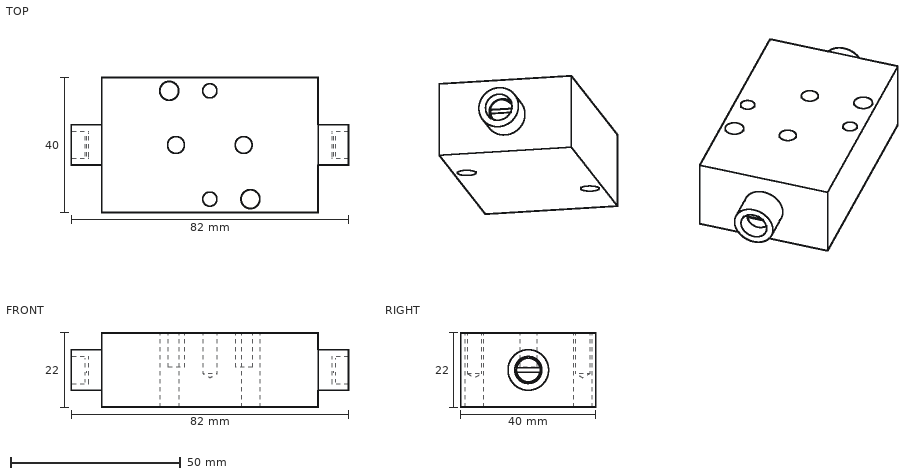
import cadquery as cq
import math

block_length = 64.0
block_width = 40.0
block_height = 22.0
block_top = block_height / 2

overall_length = 82.0
stub_diameter = 12.0
bore_diameter = 8.0
bore_depth = 5.0
screw_diameter = 7.0
screw_height = 1.0
slot_width = 1.2
slot_depth = 0.5

mounting_diameter = 5.5
mounting_x = 12.0
hole_row_y = 16.0
blind_diameter = 4.2
blind_depth = 12.0
drill_point_angle = 118.0
port_diameter = 5.0
port_x = 10.0
port_depth = 10.0


def make_block():
    return cq.Workplane("XY").box(block_length, block_width, block_height)


def end_cylinder(diameter, start_x, end_x):
    """Cylinder on the X axis between two X positions."""
    return cq.Workplane("YZ").workplane(offset=start_x).circle(diameter / 2).extrude(end_x - start_x)


def add_end_stub(body, side):
    """Stub on the +X (side = 1) or -X (side = -1) end, bored and fitted with a slotted screw."""
    block_end = side * block_length / 2
    stub_end = side * overall_length / 2
    bore_floor = stub_end - side * bore_depth
    screw_face = bore_floor + side * screw_height

    stub = end_cylinder(stub_diameter, block_end, stub_end)
    bore = end_cylinder(bore_diameter, bore_floor, stub_end)
    screw = end_cylinder(screw_diameter, bore_floor, screw_face)
    slot = (
        cq.Workplane("XY")
        .box(slot_depth, screw_diameter, slot_width)
        .translate((screw_face - side * slot_depth / 2, 0, 0))
    )
    return body.union(stub).cut(bore).union(screw.cut(slot))


def cut_mounting_holes(body):
    """Through holes at diagonally opposite places."""
    places = [(-mounting_x, hole_row_y), (mounting_x, -hole_row_y)]
    holes = (
        cq.Workplane("XY")
        .workplane(offset=-block_top)
        .pushPoints(places)
        .circle(mounting_diameter / 2)
        .extrude(block_height)
    )
    return body.cut(holes)


def cut_blind_holes(body):
    """Drilled holes with conical bottoms, midway along the block."""
    radius = blind_diameter / 2
    point_height = radius / math.tan(math.radians(drill_point_angle / 2))
    drill = (
        cq.Workplane("XZ")
        .moveTo(0, block_top)
        .lineTo(radius, block_top)
        .lineTo(radius, block_top - blind_depth)
        .lineTo(0, block_top - blind_depth - point_height)
        .close()
        .revolve(360, (0, 0, 0), (0, 1, 0))
    )
    for y in (-hole_row_y, hole_row_y):
        body = body.cut(drill.translate((0, y, 0)))
    return body


def cut_ports(body):
    """Flat-bottomed ports on the centreline of the top face."""
    ports = (
        cq.Workplane("XY")
        .workplane(offset=block_top)
        .pushPoints([(-port_x, 0), (port_x, 0)])
        .circle(port_diameter / 2)
        .extrude(-port_depth)
    )
    return body.cut(ports)


result = make_block()
for side in (-1, 1):
    result = add_end_stub(result, side)
result = cut_mounting_holes(result)
result = cut_blind_holes(result)
result = cut_ports(result)